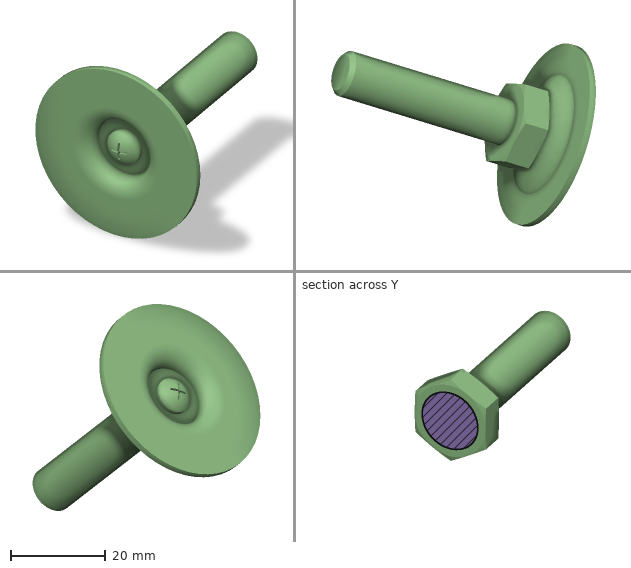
import cadquery as cq
import math


plate_diameter = 40.0
plate_thickness = 1.5
cone_base_radius = 13.2
cone_top_radius = 6.75
cone_top_y = 4.8

recess_floor_radius = 6.75
recess_depth = 4.0

head_diameter = 8.0
head_rim_height = 1.0
dome_rise = 2.2
cross_length = 4.0
cross_width = 0.5
cross_depth = 1.0

nut_across_flats = 17.0
nut_start_y = cone_top_y
nut_end_y = 11.0
nut_face_diameter = nut_across_flats
nut_chamfer_angle = 15.0
hexagon_turn = 30.0
stud_diameter = 10.0
stud_end_y = 51.0
stud_chamfer = 1.0


def revolve_about_y(profile):
    return profile.close().revolve(360, (0, 0, 0), (0, 1, 0))


def disc(radius, start_y, end_y):
    return cq.Workplane("XZ", origin=(0, start_y, 0)).circle(radius).extrude(start_y - end_y)


def make_foot():
    """Plate and cone, hollowed by a recess whose wall rolls over into the plate face."""
    plate_radius = plate_diameter / 2
    flare_radius = recess_depth
    recess_mouth_radius = recess_floor_radius + flare_radius
    arc_offset = flare_radius * math.sqrt(0.5)
    arc_middle = (recess_mouth_radius - arc_offset, recess_depth - arc_offset)
    return revolve_about_y(
        cq.Workplane("XY")
        .moveTo(0, recess_depth)
        .lineTo(recess_floor_radius, recess_depth)
        .threePointArc(arc_middle, (recess_mouth_radius, 0))
        .lineTo(plate_radius, 0)
        .lineTo(plate_radius, plate_thickness)
        .lineTo(cone_base_radius, plate_thickness)
        .lineTo(cone_top_radius, cone_top_y)
        .lineTo(0, cone_top_y)
    )


def make_screw_head():
    """Short cylinder with a spherical cap, cut by a cross in its crown."""
    head_radius = head_diameter / 2
    rim_y = recess_depth - head_rim_height
    crown_y = rim_y - dome_rise
    sphere_radius = (head_radius**2 + dome_rise**2) / (2 * dome_rise)
    half_angle = math.asin(head_radius / sphere_radius) / 2
    arc_middle = (
        sphere_radius * math.sin(half_angle),
        crown_y + sphere_radius * (1 - math.cos(half_angle)),
    )
    head = revolve_about_y(
        cq.Workplane("XY")
        .moveTo(0, cone_top_y)
        .lineTo(head_radius, cone_top_y)
        .lineTo(head_radius, rim_y)
        .threePointArc(arc_middle, (0, crown_y))
    )
    for length_x, length_z in ((cross_length, cross_width), (cross_width, cross_length)):
        slot = cq.Workplane("XZ").rect(length_x, length_z).extrude(-(crown_y + cross_depth))
        head = head.cut(slot)
    return head


def make_nut():
    """Hexagon with flats facing +X and -X and a conical chamfer on both ends."""
    across_corners = nut_across_flats / math.cos(math.pi / 6)
    thickness = nut_end_y - nut_start_y
    hexagon = (
        cq.Workplane("XZ", origin=(0, nut_start_y, 0))
        .polygon(6, across_corners)
        .extrude(-thickness)
        .rotate((0, 0, 0), (0, 1, 0), hexagon_turn)
    )
    face_radius = nut_face_diameter / 2
    corner_radius = across_corners / 2
    chamfer_height = (corner_radius - face_radius) * math.tan(math.radians(nut_chamfer_angle))
    envelope = revolve_about_y(
        cq.Workplane("XY")
        .moveTo(0, nut_start_y)
        .lineTo(face_radius, nut_start_y)
        .lineTo(corner_radius, nut_start_y + chamfer_height)
        .lineTo(corner_radius, nut_end_y - chamfer_height)
        .lineTo(face_radius, nut_end_y)
        .lineTo(0, nut_end_y)
    )
    return hexagon.intersect(envelope)


def make_stud():
    """Plain round stud with a chamfered free end."""
    stud = disc(stud_diameter / 2, nut_start_y, stud_end_y)
    return stud.faces(">Y").chamfer(stud_chamfer)


result = make_foot().union(make_screw_head()).union(make_nut()).union(make_stud())